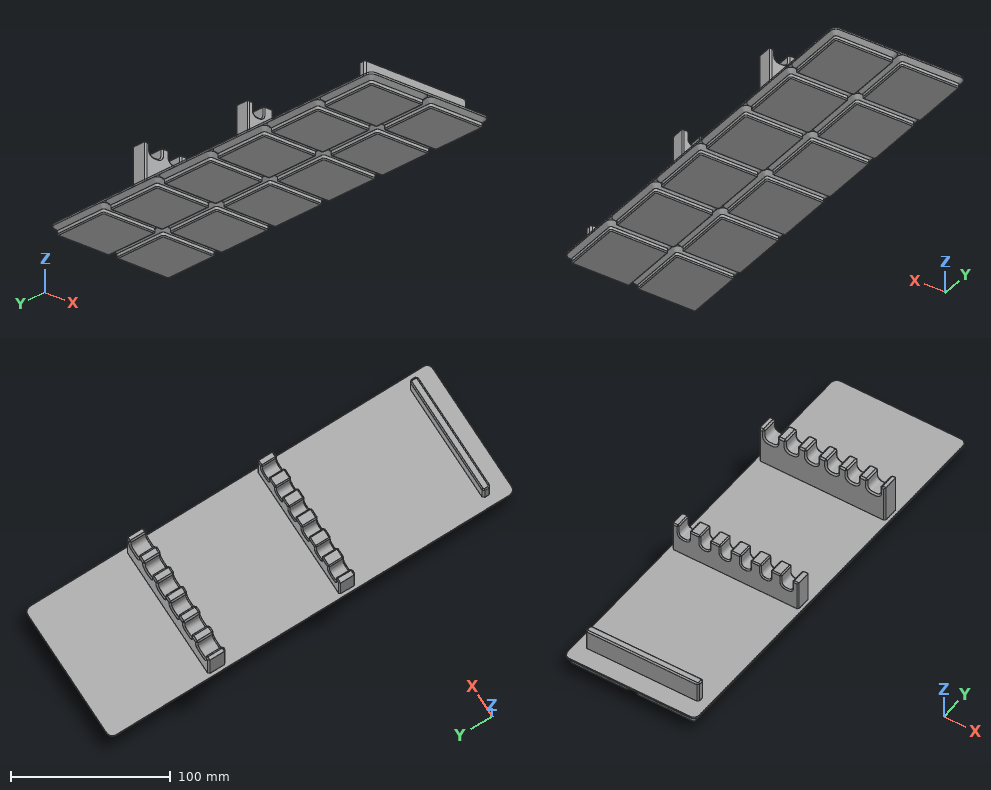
import cadquery as cq
import math

cells_x = 2
cells_y = 6
base_width = 100.2
base_length = 300.61
overall_height = 35.46
corner_radius = 4.5
sheet_thickness = 1.35
foot_gap = 0.02
foot_chamfer = 0.8
foot_wall_height = 2.25
foot_taper = 2.95

wall_top = foot_chamfer + foot_wall_height
foot_height = wall_top + foot_taper
base_top = foot_height + sheet_thickness
pitch_x = base_width / cells_x
pitch_y = base_length / cells_y

rack_length = 95.5
notch_count = 6
notch_pitch = 15.4
end_notch_extra = 1.0

rear_rack_y = 69.4
rear_rack_depth = 13.0
rear_rack_top = overall_height
rear_notch_width = 9.1
rear_notch_depth = 9.0
rear_notch_radius = 3.7
rear_edge_chamfer = 1.15

front_rack_y = -27.2
front_rack_depth = 11.8
front_rack_top = 29.8
front_notch_width = 7.4
front_notch_depth = 9.5
front_notch_radius = 3.3
front_edge_chamfer = 0.9

bar_y = -133.75
bar_length = 86.0
bar_depth = 5.8
bar_top = 22.6
bar_top_chamfer = 1.0
bar_corner_chamfer = 1.3


def centered_position(index, count, pitch):
    """Position of one item in an evenly spaced row centred on zero."""
    return (index - (count - 1) / 2) * pitch


def block(width, length, bottom, top):
    """Upright box centred on the Z axis."""
    return cq.Workplane("XY").workplane(offset=bottom).rect(width, length).extrude(top - bottom)


def make_foot():
    """Foot with a chamfered underside, a straight wall and a 45 degree flare above it."""
    wall_width = pitch_x - foot_gap - 2 * foot_taper
    wall_length = pitch_y - foot_gap - 2 * foot_taper
    wall = block(wall_width, wall_length, 0, wall_top)
    wall = wall.edges("|Z").fillet(corner_radius - foot_taper)
    wall = wall.faces("<Z").chamfer(foot_chamfer)
    rim = wall.faces(">Z").wires().toPending().workplane()
    flare = rim.extrude(foot_taper, taper=-45, combine=False)
    return wall.union(flare)


def make_base():
    """Rounded sheet with one foot under each grid cell."""
    sheet = block(base_width, base_length, foot_height, base_top)
    base = sheet.edges("|Z").fillet(corner_radius)
    foot = make_foot()
    for column in range(cells_x):
        for row in range(cells_y):
            x = centered_position(column, cells_x, pitch_x)
            y = centered_position(row, cells_y, pitch_y)
            base = base.union(foot.translate((x, y, 0)))
    return base


def make_notch(width, length, depth, radius):
    """Cutter for one notch, open at the top, with rounded lower corners."""
    return block(width, length, 0, depth).edges("|Y and <Z").fillet(radius)


def make_rack(y, depth, top, notch_width, notch_depth, notch_radius, edge_chamfer):
    """Upright rack with a row of notches; the two end notches are widened outward."""
    rack = block(rack_length, depth, base_top, top)
    for i in range(notch_count):
        x = centered_position(i, notch_count, notch_pitch)
        width = notch_width
        if i in (0, notch_count - 1):
            width += end_notch_extra
            x += math.copysign(end_notch_extra / 2, x)
        notch = make_notch(width, depth, notch_depth, notch_radius)
        rack = rack.cut(notch.translate((x, 0, top - notch_depth)))
    rack = rack.edges("not (<Z or (|Y and (<X or >X)))").chamfer(edge_chamfer)
    return rack.translate((0, y, 0))


def make_stop_bar():
    """Plain bar with chamfered corners and a chamfered top rim."""
    bar = block(bar_length, bar_depth, base_top, bar_top)
    bar = bar.edges("|Z").chamfer(bar_corner_chamfer)
    bar = bar.faces(">Z").chamfer(bar_top_chamfer)
    return bar.translate((0, bar_y, 0))


base = make_base()
rear_rack = make_rack(
    rear_rack_y,
    rear_rack_depth,
    rear_rack_top,
    rear_notch_width,
    rear_notch_depth,
    rear_notch_radius,
    rear_edge_chamfer,
)
front_rack = make_rack(
    front_rack_y,
    front_rack_depth,
    front_rack_top,
    front_notch_width,
    front_notch_depth,
    front_notch_radius,
    front_edge_chamfer,
)
stop_bar = make_stop_bar()

bodies = [base, rear_rack, front_rack, stop_bar]
result = cq.Compound.makeCompound([body.solids().val() for body in bodies])